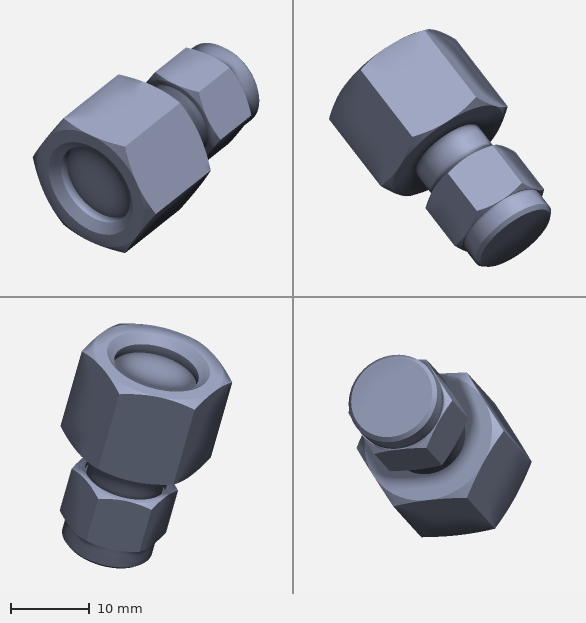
import cadquery as cq
import math

total_length = 28
large_hex_end = 13.0
neck_end = 17.5
small_hex_end = 25.0

large_hex_flats = 17.0
small_hex_flats = 12.0
neck_diameter = 9.9
collar_diameter = 11.8
collar_chamfer = 0.5
hex_chamfer_angle = 30

pocket_diameter = 10.6
pocket_depth = 1.0

mouth_diameter = 13.4
bore_diameter = 11.03
taper_depth = 1.05
bore_depth = 2.32


def revolve_about_y(profile):
    """Revolve a closed (radius, y) profile around the Y axis."""
    return cq.Workplane("XY").polyline(profile).close().revolve(360, (0, 0, 0), (0, 1, 0))


def cylinder(diameter, start, end):
    radius = diameter / 2
    return revolve_about_y([(0, start), (radius, start), (radius, end), (0, end)])


def chamfered_hex(flats, start, end):
    """Hexagonal prism with corners on the X axis, cone-chamfered at both ends."""
    inner_radius = flats / 2
    corner_radius = inner_radius / math.cos(math.pi / 6)
    drop = (corner_radius - inner_radius) * math.tan(math.radians(hex_chamfer_angle))
    prism = (
        cq.Workplane("XZ", origin=(0, start, 0))
        .polygon(6, 2 * corner_radius)
        .extrude(start - end)
    )
    envelope = revolve_about_y([
        (0, start),
        (inner_radius, start),
        (corner_radius, start + drop),
        (corner_radius, end - drop),
        (inner_radius, end),
        (0, end),
    ])
    return prism.intersect(envelope)


large_hex = chamfered_hex(large_hex_flats, 0, large_hex_end)
neck = cylinder(neck_diameter, large_hex_end, neck_end + pocket_depth)
small_hex = chamfered_hex(small_hex_flats, neck_end, small_hex_end)
neck_pocket = cylinder(pocket_diameter, neck_end, neck_end + pocket_depth)
collar = cylinder(collar_diameter, small_hex_end, total_length).faces(">Y").chamfer(collar_chamfer)

bore = revolve_about_y([
    (0, 0),
    (mouth_diameter / 2, 0),
    (bore_diameter / 2, taper_depth),
    (bore_diameter / 2, bore_depth),
    (0, bore_depth),
])

result = small_hex.cut(neck_pocket).union(neck).union(large_hex).union(collar).cut(bore)